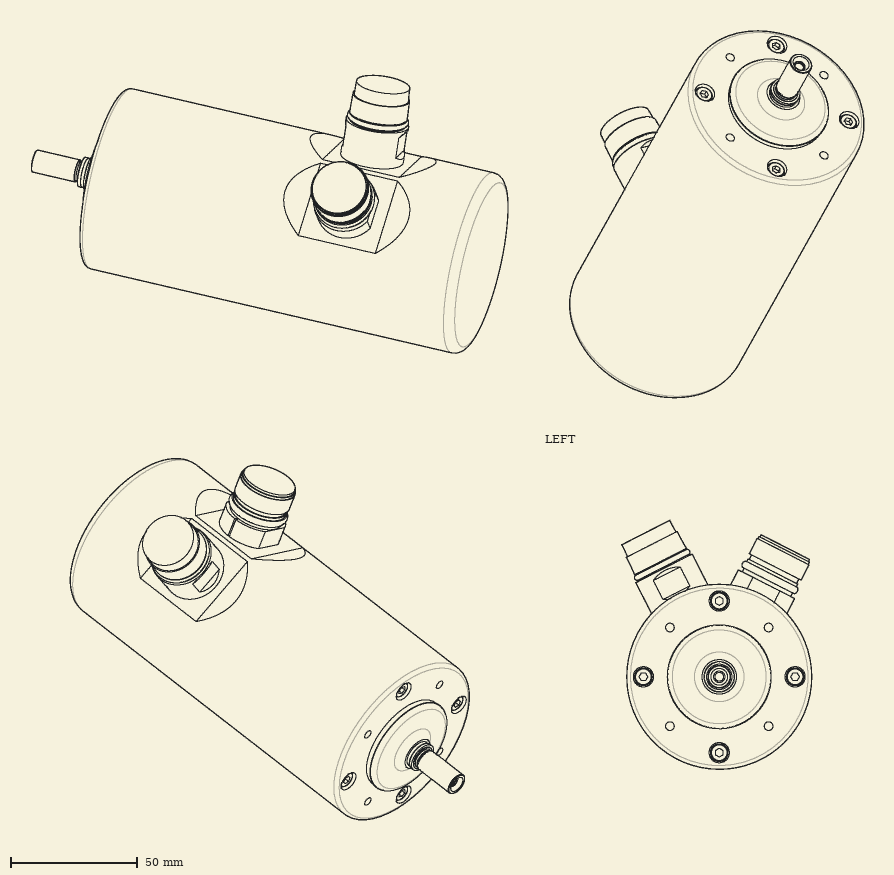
import cadquery as cq
import math

HOUSING_RADIUS = 36.5
HOUSING_LENGTH = 156.5
FRONT_EDGE_ROUND = 1.5
REAR_CAP_ROUND = 3.6
REAR_CAP_DOME_RADIUS = 390.0

PILOT_RADIUS = 20.5
PILOT_GROOVE_RADIUS = 20.2
PILOT_EDGE_X = -4.3
PILOT_EDGE_ROUND = 2.0
PILOT_FACE_SLOPE = 0.08
FLARE_OUTER_RADIUS = 9.8
NECK_RADIUS = 6.8

SHAFT_LENGTH = 30.5
SHAFT_RADIUS = 4.5
SHAFT_END_CHAMFER = 0.25
SHAFT_SHOULDER_X = -12.7
SHAFT_UNDERCUT_RADIUS = 4.0
SHAFT_UNDERCUT_LENGTH = 0.7
SHAFT_SEAT_RADIUS = 4.25
SEAL_COLLAR_RADIUS = 6.0
SEAL_COLLAR_X = -10.8
SEAL_COLLAR_LENGTH = 1.3
SEAL_SLEEVE_RADIUS = 5.75
SEAL_LIP_RADIUS = 5.0
SEAL_LIP_LENGTH = 0.3

TAP_DIAMETER = 3.43
TAP_DEPTH = 8.0
DRILL_POINT_ANGLE = 118.0
SHAFT_BORE_DIAMETER = 4.5
SHAFT_BORE_LENGTH = 0.6
SHAFT_COUNTERSINK_DIAMETER = 6.6
SHAFT_COUNTERSINK_ANGLE = 60.0
MOUNT_HOLE_CIRCLE_RADIUS = 27.5

SCREW_CIRCLE_RADIUS = 29.9
SCREW_BORE_DIAMETER = 8.0
SCREW_BORE_DEPTH = 4.0
SCREW_HEAD_DIAMETER = 7.0
SCREW_HEAD_RECESS = 1.0
SCREW_HEAD_CHAMFER = 0.4
SCREW_SOCKET_ACROSS_FLATS = 3.0
SCREW_SOCKET_DEPTH = 2.0

CONNECTOR_X = 104.65
CONNECTOR_TILT = 27.0
SEAT_HEIGHT = 33.0
SEAT_LENGTH = 32.0
SEAT_RAMP_ANGLE = 20.0

BASE_RADIUS = 12.5
BASE_ACROSS_FLATS = 22.0
RING_EDGE_RADIUS = 11.5
RING_CREST_RADIUS = 12.2


def revolved_about_x(profile):
    return profile.close().revolve(360, (0, 0, 0), (1, 0, 0))


def housing_shell():
    """Cylinder with a rounded front edge and a shallow domed rear cap."""
    dome_sag = REAR_CAP_DOME_RADIUS - math.sqrt(REAR_CAP_DOME_RADIUS**2 - HOUSING_RADIUS**2)
    half_sag = REAR_CAP_DOME_RADIUS - math.sqrt(REAR_CAP_DOME_RADIUS**2 - HOUSING_RADIUS**2 / 4)
    profile = (
        cq.Workplane("XY")
        .lineTo(0, HOUSING_RADIUS)
        .lineTo(HOUSING_LENGTH - dome_sag, HOUSING_RADIUS)
        .threePointArc((HOUSING_LENGTH - half_sag, HOUSING_RADIUS / 2), (HOUSING_LENGTH, 0))
    )
    shell = revolved_about_x(profile)
    shell = shell.faces("<X").edges().fillet(FRONT_EDGE_ROUND)
    rear_edge = cq.selectors.BoxSelector(
        (HOUSING_LENGTH - 2 * dome_sag, -2 * HOUSING_RADIUS, -2 * HOUSING_RADIUS),
        (HOUSING_LENGTH + 1, 2 * HOUSING_RADIUS, 2 * HOUSING_RADIUS),
        boundingbox=False,
    )
    return shell.edges("%CIRCLE").edges(rear_edge).fillet(REAR_CAP_ROUND)


def pilot_and_shaft():
    """Pilot disc, flared neck, seal collar and shaft in one revolved profile."""
    rim_x = PILOT_EDGE_X + PILOT_EDGE_ROUND
    face_run = PILOT_RADIUS - PILOT_EDGE_ROUND - FLARE_OUTER_RADIUS
    flare_x = PILOT_EDGE_X - PILOT_FACE_SLOPE * face_run
    flare_reach = FLARE_OUTER_RADIUS - NECK_RADIUS
    neck_end_x = flare_x - flare_reach
    quarter = 1 - math.sqrt(0.5)
    seat_x = SHAFT_SHOULDER_X + SHAFT_UNDERCUT_LENGTH
    lip_x = SEAL_COLLAR_X - SEAL_LIP_LENGTH
    collar_end_x = SEAL_COLLAR_X + SEAL_COLLAR_LENGTH
    profile = (
        cq.Workplane("XY")
        .moveTo(1, 0)
        .lineTo(1, PILOT_GROOVE_RADIUS)
        .lineTo(rim_x, PILOT_GROOVE_RADIUS)
        .lineTo(rim_x, PILOT_RADIUS)
        .threePointArc(
            (PILOT_EDGE_X + quarter * PILOT_EDGE_ROUND, PILOT_RADIUS - quarter * PILOT_EDGE_ROUND),
            (PILOT_EDGE_X, PILOT_RADIUS - PILOT_EDGE_ROUND),
        )
        .lineTo(flare_x, FLARE_OUTER_RADIUS)
        .threePointArc(
            (flare_x - quarter * flare_reach, NECK_RADIUS + quarter * flare_reach),
            (neck_end_x, NECK_RADIUS),
        )
        .lineTo(neck_end_x, SEAL_SLEEVE_RADIUS)
        .lineTo(collar_end_x, SEAL_SLEEVE_RADIUS)
        .lineTo(collar_end_x, SEAL_COLLAR_RADIUS)
        .lineTo(SEAL_COLLAR_X, SEAL_COLLAR_RADIUS)
        .lineTo(SEAL_COLLAR_X, SEAL_LIP_RADIUS)
        .lineTo(lip_x, SEAL_LIP_RADIUS)
        .lineTo(lip_x, SHAFT_SEAT_RADIUS)
        .lineTo(seat_x, SHAFT_SEAT_RADIUS)
        .lineTo(seat_x, SHAFT_UNDERCUT_RADIUS)
        .lineTo(SHAFT_SHOULDER_X, SHAFT_UNDERCUT_RADIUS)
        .lineTo(SHAFT_SHOULDER_X, SHAFT_RADIUS)
        .lineTo(SHAFT_END_CHAMFER - SHAFT_LENGTH, SHAFT_RADIUS)
        .lineTo(-SHAFT_LENGTH, SHAFT_RADIUS - SHAFT_END_CHAMFER)
        .lineTo(-SHAFT_LENGTH, 0)
    )
    return revolved_about_x(profile)


def tapped_hole(mouth_x):
    """Blind hole along +X ending in a drill point."""
    radius = TAP_DIAMETER / 2
    point_length = radius / math.tan(math.radians(DRILL_POINT_ANGLE / 2))
    bottom_x = mouth_x + TAP_DEPTH
    profile = (
        cq.Workplane("XY")
        .moveTo(mouth_x, 0)
        .lineTo(mouth_x, radius)
        .lineTo(bottom_x, radius)
        .lineTo(bottom_x + point_length, 0)
    )
    return revolved_about_x(profile)


def shaft_center_mouth():
    """Countersink and short relief bore at the mouth of the shaft's tapped hole."""
    bore_radius = SHAFT_BORE_DIAMETER / 2
    mouth_radius = SHAFT_COUNTERSINK_DIAMETER / 2
    cone_length = (mouth_radius - bore_radius) / math.tan(math.radians(SHAFT_COUNTERSINK_ANGLE / 2))
    bore_x = cone_length - SHAFT_LENGTH
    profile = (
        cq.Workplane("XY")
        .moveTo(-SHAFT_LENGTH, 0)
        .lineTo(-SHAFT_LENGTH, mouth_radius)
        .lineTo(bore_x, bore_radius)
        .lineTo(bore_x + SHAFT_BORE_LENGTH, bore_radius)
        .lineTo(bore_x + SHAFT_BORE_LENGTH, 0)
    )
    return revolved_about_x(profile)


def screw_recess():
    """Clearance left around one sunk cap screw: bore less head, plus hex socket."""
    bore = cq.Workplane("YZ").circle(SCREW_BORE_DIAMETER / 2).extrude(SCREW_BORE_DEPTH)
    head = (
        cq.Workplane("YZ", origin=(SCREW_HEAD_RECESS, 0, 0))
        .circle(SCREW_HEAD_DIAMETER / 2)
        .extrude(SCREW_BORE_DEPTH - SCREW_HEAD_RECESS)
        .faces("<X")
        .chamfer(SCREW_HEAD_CHAMFER)
    )
    socket = (
        cq.Workplane("YZ", origin=(SCREW_HEAD_RECESS, 0, 0))
        .polygon(6, SCREW_SOCKET_ACROSS_FLATS / math.cos(math.pi / 6))
        .extrude(SCREW_SOCKET_DEPTH)
        .rotate((0, 0, 0), (1, 0, 0), 30)
    )
    return bore.cut(head).union(socket)


def seat_cut():
    """Flat seat with a ramp rising out of it at each end."""
    depth = HOUSING_RADIUS
    ramp_run = depth / math.tan(math.radians(SEAT_RAMP_ANGLE))
    half = SEAT_LENGTH / 2
    return (
        cq.Workplane("XZ", origin=(CONNECTOR_X, 0, SEAT_HEIGHT))
        .polyline([(-half, 0), (half, 0), (half + ramp_run, depth), (-half - ramp_run, depth)])
        .close()
        .extrude(HOUSING_RADIUS, both=True)
    )


def tilted(shape, angle):
    return shape.rotate((0, 0, 0), (1, 0, 0), angle)


def motor():
    body = housing_shell().union(pilot_and_shaft())
    body = body.cut(tapped_hole(-SHAFT_LENGTH)).cut(shaft_center_mouth())
    for quarter_turn in range(4):
        angle = 90 * quarter_turn
        screw = screw_recess().translate((0, 0, SCREW_CIRCLE_RADIUS))
        body = body.cut(screw.rotate((0, 0, 0), (1, 0, 0), angle))
        hole = tapped_hole(0).translate((0, 0, MOUNT_HOLE_CIRCLE_RADIUS))
        body = body.cut(hole.rotate((0, 0, 0), (1, 0, 0), angle + 45))
    for angle in (-CONNECTOR_TILT, CONNECTOR_TILT):
        body = body.cut(tilted(seat_cut(), angle))
    return body


def stepped_stack(steps):
    """Round sections stacked from the seat up; each is (top height, bottom radius, top radius)."""
    stack = cq.Workplane("XZ")
    bottom = SEAT_HEIGHT
    for top, bottom_radius, top_radius in steps:
        section = cq.Workplane("XZ").polyline([(0, bottom), (bottom_radius, bottom), (top_radius, top), (0, top)])
        stack = stack.union(section.close().revolve(360, (0, 0, 0), (0, 1, 0)))
        bottom = top
    return stack.translate((CONNECTOR_X, 0, 0))


def ring_crown(bottom, top):
    """Rounded crest around a ring."""
    section = (
        cq.Workplane("XZ")
        .moveTo(RING_EDGE_RADIUS - 1, bottom)
        .lineTo(RING_EDGE_RADIUS, bottom)
        .threePointArc((RING_CREST_RADIUS, (bottom + top) / 2), (RING_EDGE_RADIUS, top))
        .lineTo(RING_EDGE_RADIUS - 1, top)
    )
    return section.close().revolve(360, (0, 0, 0), (0, 1, 0)).translate((CONNECTOR_X, 0, 0))


def spanner_cuts(profile_points):
    """Pair of cuts across X; points are (distance outside the flat, height)."""
    flat = BASE_ACROSS_FLATS / 2
    cuts = cq.Workplane("XY")
    for side in (-1, 1):
        points = [(CONNECTOR_X + side * (flat + outward), height) for outward, height in profile_points]
        cuts = cuts.add(cq.Workplane("XZ").polyline(points).close().extrude(BASE_RADIUS, both=True))
    return cuts.combine()


LONG_FLAT_BOTTOM = 37.2
LONG_FLAT_TOP = 45.6
LONG_RING_BOTTOM = 48.5
LONG_RING_TOP = 50.6
LONG_STEPS = [
    (48.0, BASE_RADIUS, BASE_RADIUS),
    (LONG_RING_BOTTOM, 11.2, 11.2),
    (LONG_RING_TOP, RING_EDGE_RADIUS, RING_EDGE_RADIUS),
    (51.0, 10.8, 10.8),
    (58.6, 11.5, 11.3),
    (63.85, 10.8, 10.65),
]


def long_connector():
    reach = 2 * (BASE_RADIUS - BASE_ACROSS_FLATS / 2)
    spanner_pocket = [
        (0, LONG_FLAT_BOTTOM),
        (reach, LONG_FLAT_BOTTOM - reach),
        (reach, LONG_FLAT_TOP + reach),
        (0, LONG_FLAT_TOP),
    ]
    shape = stepped_stack(LONG_STEPS).union(ring_crown(LONG_RING_BOTTOM, LONG_RING_TOP))
    shape = shape.cut(spanner_cuts(spanner_pocket))
    return tilted(shape, -CONNECTOR_TILT)


SHORT_BASE_TOP = 41.0
KEY_SLOT_WIDTH = 0.7
KEY_SLOT_DEPTH = 1.0
SHORT_RING_BOTTOM = 42.6
SHORT_RING_TOP = 45.4
SHORT_STEPS = [
    (SHORT_BASE_TOP, BASE_RADIUS, BASE_RADIUS),
    (SHORT_RING_BOTTOM, 10.75, 10.75),
    (SHORT_RING_TOP, RING_EDGE_RADIUS, RING_EDGE_RADIUS),
    (46.6, 11.0, 11.0),
    (48.6, 10.5, 10.5),
    (55.4, 11.5, 11.5),
    (56.4, 11.2, 11.2),
    (57.4, 10.75, 10.75),
]


def short_connector():
    reach = 2 * (BASE_RADIUS - BASE_ACROSS_FLATS / 2)
    full_flat = [(0, SEAT_HEIGHT), (reach, SEAT_HEIGHT), (reach, SHORT_BASE_TOP), (0, SHORT_BASE_TOP)]
    key_slot = cq.Workplane("XY").box(
        KEY_SLOT_WIDTH, 2 * KEY_SLOT_DEPTH, SHORT_BASE_TOP - SEAT_HEIGHT, centered=(True, True, False)
    )
    key_slot = key_slot.translate((CONNECTOR_X, BASE_RADIUS, SEAT_HEIGHT))
    shape = stepped_stack(SHORT_STEPS).union(ring_crown(SHORT_RING_BOTTOM, SHORT_RING_TOP))
    shape = shape.cut(spanner_cuts(full_flat)).cut(key_slot)
    return tilted(shape, CONNECTOR_TILT)


result = cq.Compound.makeCompound([motor().val(), long_connector().val(), short_connector().val()])